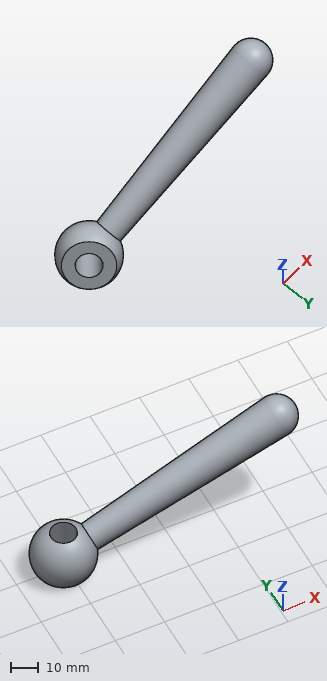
import cadquery as cq
import math

ball_radius = 12.5
bore_radius = 5.0
base_depth = 7.5
handle_tilt = 20.0
neck_radius = 5.6
tip_radius = 8.0
overall_length = 107.0

top_height = math.sqrt(ball_radius**2 - bore_radius**2)
tip_distance = (overall_length - ball_radius - tip_radius) / math.cos(math.radians(handle_tilt))
neck_distance = math.sqrt(ball_radius**2 - neck_radius**2)

taper_angle = math.asin((tip_radius - neck_radius) / (tip_distance - neck_distance))
cone_end_distance = tip_distance - tip_radius * math.sin(taper_angle)
cone_end_radius = tip_radius * math.cos(taper_angle)
tip_arc_offset = tip_radius * math.sqrt(0.5)


def make_ball():
    """Ball centred on the origin with flat top and underside."""
    flat_height = top_height + base_depth
    slab = (
        cq.Workplane("XY")
        .workplane(offset=-base_depth)
        .circle(ball_radius + 1.1)
        .extrude(flat_height)
    )
    return cq.Workplane("XY").sphere(ball_radius).intersect(slab)


def make_handle():
    """Tapered round-ended handle, revolved about X and tilted upward."""
    return (
        cq.Workplane("XZ")
        .moveTo(neck_distance, 0)
        .lineTo(neck_distance, neck_radius)
        .lineTo(cone_end_distance, cone_end_radius)
        .threePointArc(
            (tip_distance + tip_arc_offset, tip_arc_offset),
            (tip_distance + tip_radius, 0),
        )
        .close()
        .revolve(360, (0, 0), (1, 0))
        .rotate((0, 0, 0), (0, 1, 0), -handle_tilt)
    )


def make_bore():
    """Vertical hole through the ball."""
    return cq.Workplane("XY").circle(bore_radius).extrude(ball_radius, both=True)


result = make_ball().union(make_handle()).cut(make_bore())